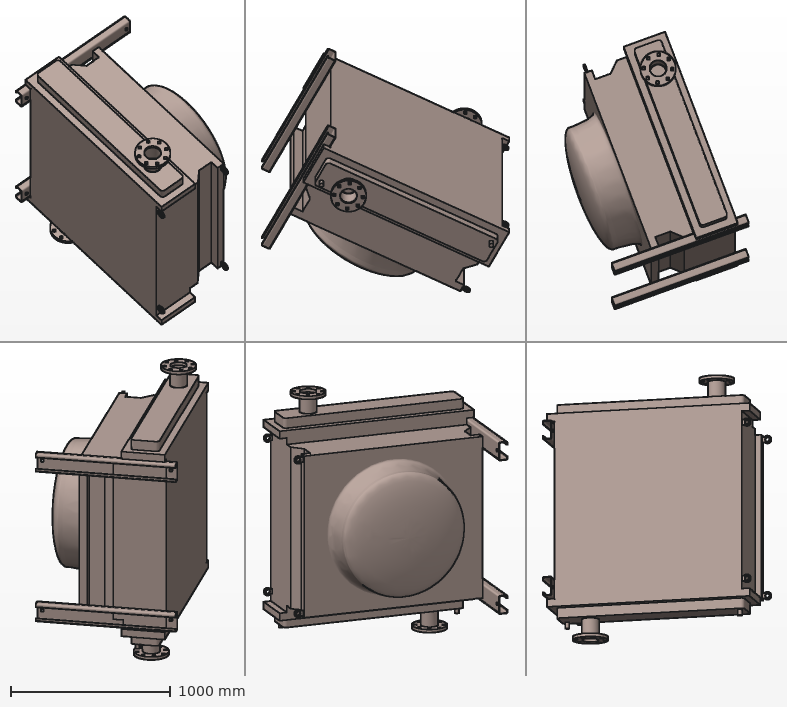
import cadquery as cq

core_width = 1210.0
core_depth = 340.0
core_height = 1053.0
tube_plate_width = 1307.0
tube_plate_depth = 277.0
tube_plate_thickness = 49.0
tube_plate_top = 618.0

header_depth = 181.0
header_height = 65.0
header_corner_radius = 21.0
header_centre_y = tube_plate_depth / 2
header_top = tube_plate_top + header_height

overall_height = 1630.0
pipe_offset_x = 408.0
pipe_diameter = 111.0
bore_diameter = 105.0
flange_diameter = 222.0
flange_thickness = 21.0
bolt_circle_diameter = 180.0
bolt_hole_diameter = 20.0
bolt_count = 8
pipe_length = overall_height / 2 - header_top

drain_diameter = 28.0
drain_length = 37.0
drain_offset_x = 570.0
drain_offset_y = 54.0

neck_width = 1079.0
neck_chamfer_length = 67.0
shroud_flange_width = 1200.0
shroud_flange_front = 509.0
shroud_back = 559.0

cowl_radius = 406.0
cowl_flare = 37.0
cowl_flare_end = 707.0
cowl_dome_start = 735.0

rail_width = 59.0
rail_height = 120.0
rail_wall = 5.0
rail_lip = 23.0
rail_bend_radius = 11.0
rail_length = 895.0
rail_front = -70.0
rail_back = rail_front + rail_length
rail_centre_z = 500.0
rail_hole_diameter = 20.0
rail_front_hole_inset = 40.0
rail_back_hole_inset = 31.0

eye_diameter = 49.0
eye_hole_diameter = 28.0
eye_thickness = 11.0
eye_stem_height = 33.0
eye_centre_x = 632.0
front_eye_y = 18.0
back_eye_y = 541.0

cowl_dome_height = rail_back - cowl_dome_start


def block(width, y_front, y_back, z_bottom, z_top):
    """Box centred on X between two Y planes and two Z planes."""
    depth = y_back - y_front
    height = z_top - z_bottom
    centre = ((y_front + y_back) / 2, (z_bottom + z_top) / 2)
    return cq.Workplane("XY").box(width, depth, height).translate((0, *centre))


def make_core():
    """Core block with a wider tube plate along its top and bottom."""
    core = block(core_width, 0, core_depth, -core_height / 2, core_height / 2)
    core = core.union(block(core_width, 0, tube_plate_depth, -tube_plate_top, tube_plate_top))
    plate_bottom = tube_plate_top - tube_plate_thickness
    top_plate = block(tube_plate_width, 0, tube_plate_depth, plate_bottom, tube_plate_top)
    return core.union(top_plate).union(top_plate.mirror("XY"))


def make_shroud():
    """Shroud that narrows behind the core and ends in a flange around the fan."""
    half_core = core_width / 2
    half_neck = neck_width / 2
    half_flange = shroud_flange_width / 2
    right_side = [
        (half_core, core_depth),
        (half_neck, core_depth + neck_chamfer_length),
        (half_neck, shroud_flange_front),
        (half_flange, shroud_flange_front),
        (half_flange, shroud_back),
    ]
    left_side = [(-x, y) for x, y in reversed(right_side)]
    outline = cq.Workplane("XY").polyline(right_side + left_side).close()
    return outline.extrude(core_height / 2, both=True)


def make_cowl():
    """Round cowl: concave elliptical flare, short cylinder and elliptical dome, turned about Y."""
    flare_length = cowl_flare_end - shroud_back
    return (
        cq.Workplane("XY")
        .moveTo(cowl_radius, cowl_dome_start)
        .lineTo(cowl_radius, cowl_flare_end)
        .ellipseArc(cowl_flare, flare_length, 180, 270)
        .lineTo(0, shroud_back)
        .lineTo(0, rail_back)
        .ellipseArc(cowl_radius, cowl_dome_height, 0, 90, sense=-1)
        .close()
        .revolve(360, (0, 0, 0), (0, 1, 0))
    )


def make_header():
    """Top header box with rounded vertical corners."""
    header = block(
        core_width,
        header_centre_y - header_depth / 2,
        header_centre_y + header_depth / 2,
        tube_plate_top,
        header_top,
    )
    return header.edges("|Z").fillet(header_corner_radius)


def make_flanged_pipe():
    """Pipe rising from the top header, with a drilled flange and a bore down to the header."""
    end_z = overall_height / 2
    flange = (
        cq.Workplane("XY", origin=(0, 0, end_z - flange_thickness))
        .circle(flange_diameter / 2)
        .extrude(flange_thickness)
    )
    pipe = cq.Workplane("XY", origin=(0, 0, header_top)).circle(pipe_diameter / 2).extrude(pipe_length)
    first_bolt_angle = 180 / bolt_count
    bolt_holes = (
        cq.Workplane("XY", origin=(0, 0, end_z - flange_thickness))
        .polarArray(bolt_circle_diameter / 2, first_bolt_angle, 360, bolt_count)
        .circle(bolt_hole_diameter / 2)
        .extrude(flange_thickness)
    )
    bore = cq.Workplane("XY", origin=(0, 0, header_top)).circle(bore_diameter / 2).extrude(pipe_length)
    flanged_pipe = pipe.union(flange).cut(bore).cut(bolt_holes)
    return flanged_pipe.translate((pipe_offset_x, header_centre_y, 0))


def make_drains():
    """Two drain stubs hanging from the bottom header."""
    return (
        cq.Workplane("XY", origin=(0, header_centre_y, -header_top))
        .pushPoints([(-drain_offset_x, drain_offset_y), (drain_offset_x, -drain_offset_y)])
        .circle(drain_diameter / 2)
        .extrude(-drain_length)
    )


def make_cooler():
    header = make_header()
    flanged_pipe = make_flanged_pipe()
    cooler = make_core().union(make_shroud()).union(make_cowl())
    cooler = cooler.union(header).union(flanged_pipe)
    cooler = cooler.union(header.mirror("XY"))
    cooler = cooler.union(flanged_pipe.mirror("XY").mirror("YZ"))
    return cooler.union(make_drains())


def make_rail(centre_z):
    """Lipped channel along Y, its web lying against the -X side of the core."""
    web_x = -core_width / 2
    centre_x = web_x - rail_width / 2
    outside = (
        cq.Workplane("XZ", origin=(centre_x, rail_front, centre_z))
        .rect(rail_width, rail_height)
        .extrude(-rail_length)
        .edges("|Y")
        .fillet(rail_bend_radius)
    )
    inside = (
        cq.Workplane("XZ", origin=(centre_x, rail_front, centre_z))
        .rect(rail_width - 2 * rail_wall, rail_height - 2 * rail_wall)
        .extrude(-rail_length)
        .edges("|Y")
        .fillet(rail_bend_radius - rail_wall)
    )
    mouth = (
        cq.Workplane("XZ", origin=(centre_x - rail_width / 2, rail_front, centre_z))
        .rect(rail_width, rail_height - 2 * rail_lip)
        .extrude(-rail_length)
    )
    hole_places = [
        (rail_front + rail_front_hole_inset, 0),
        (rail_back - rail_back_hole_inset, 0),
    ]
    holes = (
        cq.Workplane("YZ", origin=(web_x, 0, centre_z))
        .pushPoints(hole_places)
        .circle(rail_hole_diameter / 2)
        .extrude(-rail_width)
    )
    return outside.cut(inside).cut(mouth).cut(holes)


def make_eye(stem_start_x, centre_y, centre_z):
    """Flat ring with a stem that joins it to the +X side of the cooler."""
    stem_length = eye_centre_x - stem_start_x
    plane = cq.Workplane("XZ", origin=(eye_centre_x, centre_y, centre_z))
    ring = plane.circle(eye_diameter / 2).extrude(eye_thickness / 2, both=True)
    stem = (
        plane.center(-stem_length / 2, 0)
        .rect(stem_length, eye_stem_height)
        .extrude(eye_thickness / 2, both=True)
    )
    hole = plane.circle(eye_hole_diameter / 2).extrude(eye_thickness / 2, both=True)
    return ring.union(stem).cut(hole)


cooler = make_cooler()
rails = []
eyes = []
for level_z in (-rail_centre_z, rail_centre_z):
    rails.append(make_rail(level_z))
    eyes.append(make_eye(core_width / 2, front_eye_y, level_z))
    eyes.append(make_eye(shroud_flange_width / 2, back_eye_y, level_z))

result = cq.Compound.makeCompound([body.val() for body in [cooler, *rails, *eyes]])